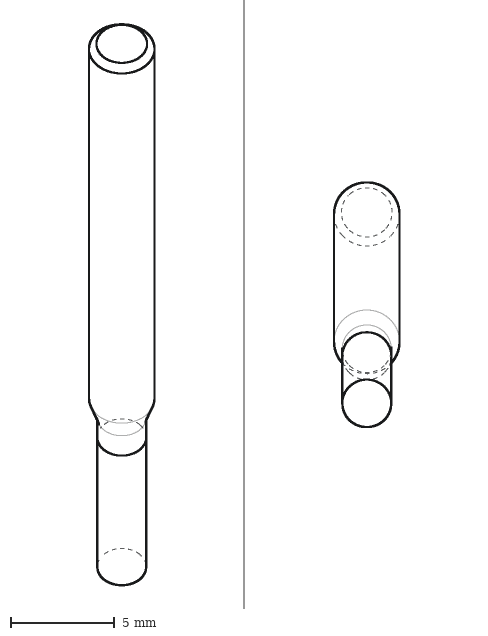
import cadquery as cq

total_length = 38.1
shank_diameter = 3.15
top_chamfer = 0.362

cutter_diameter = 2.35
cutter_length = 9.45

neck_diameter = cutter_diameter
neck_length = 1.45
taper_length = 1.37

bottom_z = -total_length / 2
top_z = total_length / 2
joint_z = bottom_z + cutter_length
taper_bottom_z = joint_z + neck_length
taper_top_z = taper_bottom_z + taper_length


def revolve_profile(points):
    """Turn a closed outline of (Y, Z) points about the Z axis."""
    return cq.Workplane("YZ").polyline(points).close().revolve(360, (0, 0), (0, 1))


def make_shank():
    """Chamfered shank tapering down to a short straight neck."""
    shank_radius = shank_diameter / 2
    neck_radius = neck_diameter / 2
    return revolve_profile([
        (0, joint_z),
        (-neck_radius, joint_z),
        (-neck_radius, taper_bottom_z),
        (-shank_radius, taper_top_z),
        (-shank_radius, top_z - top_chamfer),
        (-(shank_radius - top_chamfer), top_z),
        (0, top_z),
    ])


def make_cutter():
    """Plain cylindrical cutting end that meets the flat bottom of the neck."""
    cutter_radius = cutter_diameter / 2
    return revolve_profile([
        (0, bottom_z),
        (-cutter_radius, bottom_z),
        (-cutter_radius, joint_z),
        (0, joint_z),
    ])


shank = make_shank()
cutter = make_cutter()

result = cq.Compound.makeCompound([shank.val(), cutter.val()])